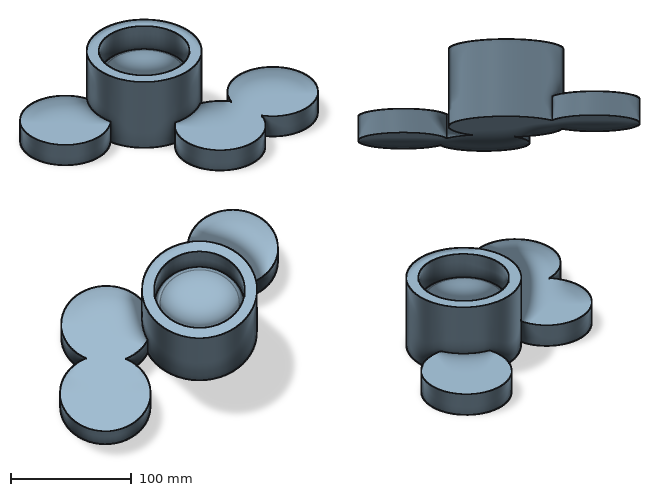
import cadquery as cq

pot_radius = 47.5
pot_height = 65.0
bore_radius = 37.5

foot_radius = 37.5
foot_height = 20.1
foot_centers = [(24.2, 103.7), (61.0, 47.0), (15.9, -73.0)]

disc_thickness = foot_height
disc_top = 44.5
floor_height = disc_top - disc_thickness
disc_edge_round = 4.8


def make_cylinder(radius, bottom, top, center=(0, 0)):
    """Upright cylinder between two heights."""
    return (
        cq.Workplane("XY", origin=(*center, bottom))
        .circle(radius)
        .extrude(top - bottom)
    )


def make_pot():
    """Blind-bored pot with the flat feet joined to its base."""
    pot = make_cylinder(pot_radius, 0, pot_height)
    for center in foot_centers:
        pot = pot.union(make_cylinder(foot_radius, 0, foot_height, center))
    return pot.cut(make_cylinder(bore_radius, floor_height, pot_height))


def make_disc():
    """Disc that fills the bore, with its upper edge rounded."""
    disc = make_cylinder(bore_radius, floor_height, disc_top)
    return disc.edges(">Z").fillet(disc_edge_round)


pot = make_pot()
disc = make_disc()

result = cq.Compound.makeCompound([pot.val(), disc.val()])